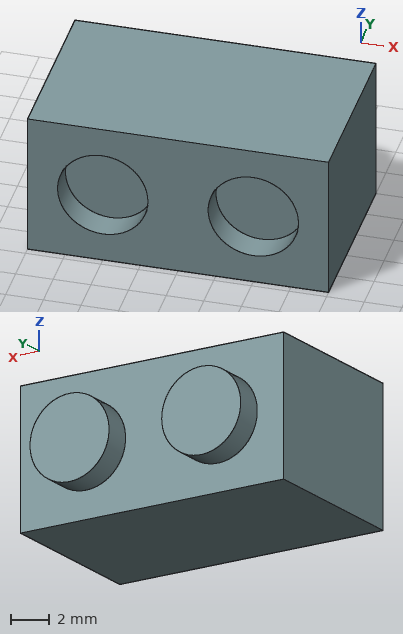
import cadquery as cq

stud_count = 2
pitch = 8.0
block_length = stud_count * pitch
block_depth = 9.6
block_height = pitch
stud_diameter = 4.8
stud_length = 1.6
socket_depth = stud_length


def cylinder_row(start_y, length):
    """Row of cylinders running along +Y from start_y, centred on X."""
    first_x = -(stud_count - 1) * pitch / 2
    centers = [(first_x + i * pitch, 0) for i in range(stud_count)]
    return (
        cq.Workplane("XZ", origin=(0, start_y, 0))
        .pushPoints(centers)
        .circle(stud_diameter / 2)
        .extrude(-length)
    )


block = cq.Workplane("XY").box(block_length, block_depth, block_height)
studs = cylinder_row(block_depth / 2, stud_length)
sockets = cylinder_row(-block_depth / 2, socket_depth)

result = block.union(studs).cut(sockets)